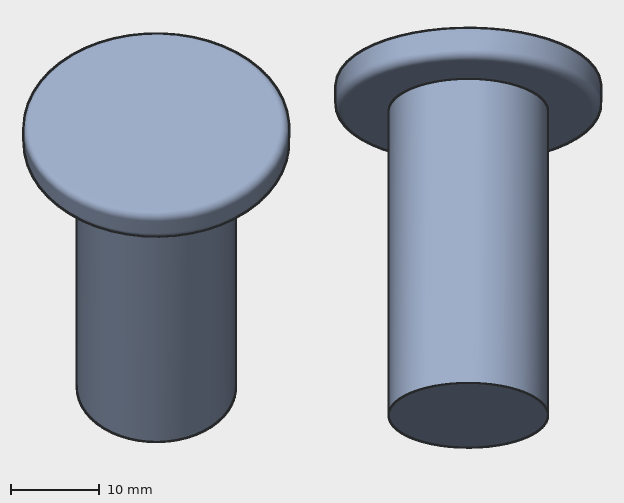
import cadquery as cq

total_height = 41.5
head_diameter = 30.0
head_thickness = 4.0
head_edge_radius = 1.0
shank_diameter = 18.0

shank_length = total_height - head_thickness


def make_shank():
    """Plain cylindrical shank standing on the XY plane."""
    return cq.Workplane("XY").circle(shank_diameter / 2).extrude(shank_length)


def make_head():
    """Disc head on top of the shank, with both rims rounded."""
    disc = cq.Workplane("XY").workplane(offset=shank_length).circle(head_diameter / 2).extrude(head_thickness)
    return disc.faces("<Z or >Z").edges().fillet(head_edge_radius)


result = make_shank().union(make_head())